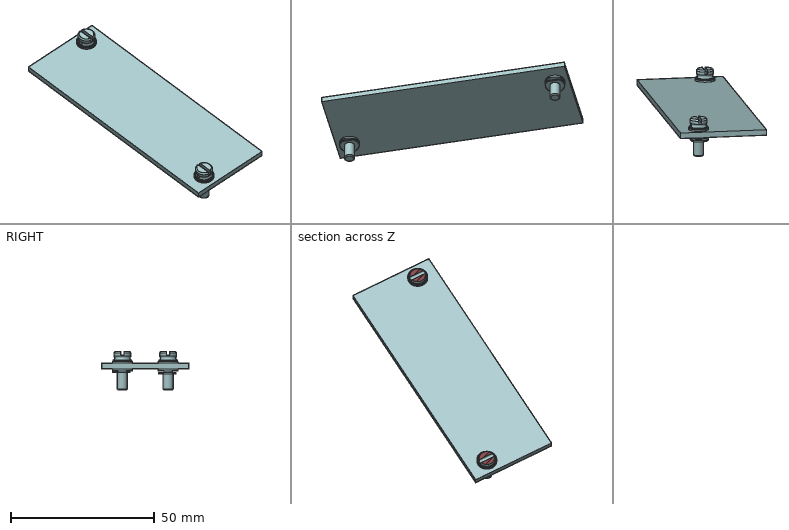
import cadquery as cq

PLATE_LENGTH = 86.8
PLATE_WIDTH = 30.5
PLATE_THICKNESS = 2.0

SCREW_PITCH_X = 77.0
SCREW_PITCH_Y = 16.0
OVERALL_HEIGHT = 13.53
HEAD_TOP_ABOVE_PLATE = 4.1
HEAD_TOP_Z = PLATE_THICKNESS + HEAD_TOP_ABOVE_PLATE
SHANK_END_Z = HEAD_TOP_Z - OVERALL_HEIGHT

HEAD_DIAMETER = 6.0
RIM_CHAMFER_WIDTH = 0.45
RIM_CHAMFER_HEIGHT = 0.6
HEAD_CROWN_HEIGHT = 1.7
WAIST_TOP_Z = HEAD_TOP_Z - HEAD_CROWN_HEIGHT
WAIST_DEPTH = 0.25
SLOT_WIDTH = 1.0
SLOT_DEPTH = 1.2
CROSS_HOLE_DIAMETER = 1.2

COLLAR_DIAMETER = 7.0
COLLAR_TOP_HEIGHT = 1.05
COLLAR_TOP_Z = PLATE_THICKNESS + COLLAR_TOP_HEIGHT
COLLAR_STEP_HEIGHT = 0.25
COLLAR_STEP_WIDTH = 0.15
COLLAR_BOTTOM_HEIGHT = 0.75
WAIST_MIDDLE_Z = (WAIST_TOP_Z + COLLAR_TOP_Z) / 2

CLIP_DIAMETER = 6.8
CLIP_THICKNESS = 0.5
CLIP_FLAT_Y = 2.7
LOOSE_CLIP_GAP = 0.6
TIGHT_CLIP_GAP = 0.1

SHANK_DIAMETER = 3.6
SHANK_TIP_CHAMFER = 0.4
NECK_DIAMETER = 2.9


def make_plate():
    return cq.Workplane("XY").box(
        PLATE_LENGTH, PLATE_WIDTH, PLATE_THICKNESS, centered=(True, True, False)
    )


def make_screw_body(clip_gap):
    """Head, collar, neck and shank turned from one half profile."""
    head_radius = HEAD_DIAMETER / 2
    collar_radius = COLLAR_DIAMETER / 2
    middle_step_radius = collar_radius - COLLAR_STEP_WIDTH
    top_step_radius = middle_step_radius - COLLAR_STEP_WIDTH
    top_step_z = COLLAR_TOP_Z - COLLAR_STEP_HEIGHT
    middle_step_z = top_step_z - COLLAR_STEP_HEIGHT
    shank_radius = SHANK_DIAMETER / 2
    neck_radius = NECK_DIAMETER / 2
    neck_end_z = -COLLAR_BOTTOM_HEIGHT - clip_gap - CLIP_THICKNESS
    return (
        cq.Workplane("XZ")
        .moveTo(0, HEAD_TOP_Z)
        .lineTo(head_radius - RIM_CHAMFER_WIDTH, HEAD_TOP_Z)
        .lineTo(head_radius, HEAD_TOP_Z - RIM_CHAMFER_HEIGHT)
        .lineTo(head_radius, WAIST_TOP_Z)
        .threePointArc(
            (head_radius - WAIST_DEPTH, WAIST_MIDDLE_Z),
            (head_radius, COLLAR_TOP_Z),
        )
        .lineTo(top_step_radius, COLLAR_TOP_Z)
        .lineTo(top_step_radius, top_step_z)
        .lineTo(middle_step_radius, top_step_z)
        .lineTo(middle_step_radius, middle_step_z)
        .lineTo(collar_radius, middle_step_z)
        .lineTo(collar_radius, -COLLAR_BOTTOM_HEIGHT)
        .lineTo(neck_radius, -COLLAR_BOTTOM_HEIGHT)
        .lineTo(neck_radius, neck_end_z)
        .lineTo(shank_radius, neck_end_z)
        .lineTo(shank_radius, SHANK_END_Z + SHANK_TIP_CHAMFER)
        .lineTo(shank_radius - SHANK_TIP_CHAMFER, SHANK_END_Z)
        .lineTo(0, SHANK_END_Z)
        .close()
        .revolve(360, (0, 0), (0, 1))
    )


def make_head_slot():
    """Driver slot along X."""
    return cq.Workplane("XY").box(
        HEAD_DIAMETER, SLOT_WIDTH, 2 * SLOT_DEPTH
    ).translate((0, 0, HEAD_TOP_Z))


def make_cross_hole():
    """Hole along Y through the middle of the waist."""
    return (
        cq.Workplane("XZ")
        .center(0, WAIST_MIDDLE_Z)
        .circle(CROSS_HOLE_DIAMETER / 2)
        .extrude(HEAD_DIAMETER, both=True)
    )


def make_clip(clip_gap):
    top_z = -COLLAR_BOTTOM_HEIGHT - clip_gap
    disc = (
        cq.Workplane("XY", origin=(0, 0, top_z))
        .circle(CLIP_DIAMETER / 2)
        .extrude(-CLIP_THICKNESS)
    )
    beyond_flat = cq.Workplane("XY").box(
        CLIP_DIAMETER, CLIP_DIAMETER, 2 * CLIP_THICKNESS
    ).translate((0, CLIP_FLAT_Y + CLIP_DIAMETER / 2, top_z - CLIP_THICKNESS / 2))
    return disc.cut(beyond_flat)


def make_screw(clip_gap):
    body = make_screw_body(clip_gap).cut(make_head_slot()).cut(make_cross_hole())
    return body.union(make_clip(clip_gap))


left_screw = make_screw(LOOSE_CLIP_GAP).translate((-SCREW_PITCH_X / 2, SCREW_PITCH_Y / 2, 0))
right_screw = make_screw(TIGHT_CLIP_GAP).translate((SCREW_PITCH_X / 2, -SCREW_PITCH_Y / 2, 0))

result = make_plate().union(left_screw).union(right_screw)